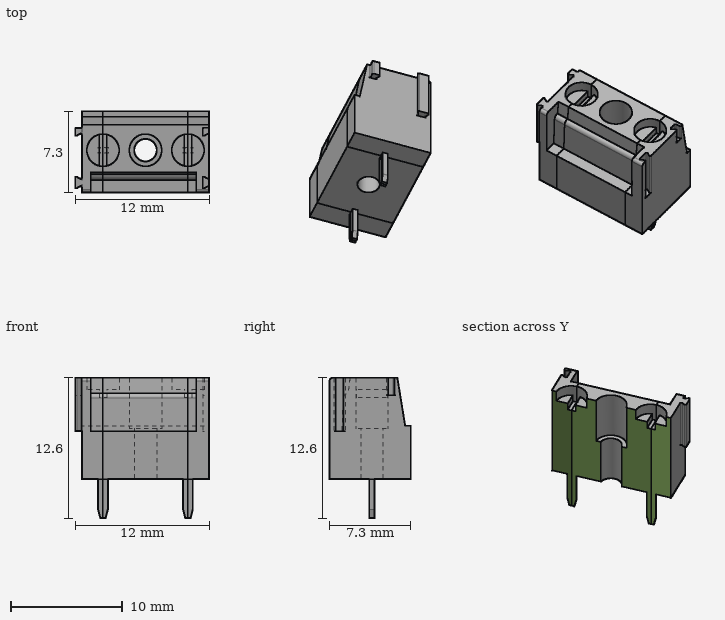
import cadquery as cq


pitch = 3.81
housing_length = 3 * pitch
housing_depth = 7.3
housing_height = 9.1
left_x = -housing_length / 2
right_x = housing_length / 2
front_edge_radius = 0.3
tool_overrun = 0.5

step_height = 4.8
step_depth = 0.5
slope_run = 0.7
slope_bottom_y = housing_depth - step_depth
slope_top_y = slope_bottom_y - slope_run

recess_left_wall = 0.785
recess_left_x = left_x + recess_left_wall
recess_length = 9.5
recess_floor_z = 4.3
recess_floor_y = 1.1
recess_top_y = 1.83
ledge_z = 7.7
ledge_back_y = 1.66
ledge_front_y = 1.23
ledge_radius = 0.4

hole_y = 3.8
hole_diameter = 2.9
screw_depth = 1.05
screw_slot_width = 0.7
screw_slot_depth = 0.7
probe_bore_depth = housing_height / 2
probe_through_diameter = 2.0

dovetail_reach = 0.6
dovetail_flare = 0.345
dovetail_radius = 0.1
front_dovetail_y = 0.9
front_dovetail_half_neck = 0.26
front_dovetail_bottom_z = recess_floor_z
back_dovetail_neck_y = 5.35
back_dovetail_flat_y = 5.8
back_dovetail_bottom_z = 7.5
dovetail_root_size = 0.2

pin_width = 0.9
pin_thickness = 0.5
pin_length = 3.5
pin_tip_width = 0.5
pin_tip_length = 0.8


def side_profile(points, start_x, length):
    """Extrude an outline of (Y, Z) points along +X from start_x."""
    outline = cq.Workplane("YZ", origin=(start_x, 0, 0)).polyline(points).close()
    return outline.extrude(length)


def housing_block():
    block = side_profile(
        [
            (0, 0),
            (housing_depth, 0),
            (housing_depth, step_height),
            (slope_bottom_y, step_height),
            (slope_top_y, housing_height),
            (0, housing_height),
        ],
        left_x,
        housing_length,
    )
    return block.edges("<Y and >Z").fillet(front_edge_radius)


def front_recess():
    """Pocket open to the front and top, with a rounded ledge across its back wall."""
    recess = side_profile(
        [
            (-tool_overrun, recess_floor_z),
            (recess_floor_y, recess_floor_z),
            (ledge_front_y, ledge_z),
            (ledge_back_y, ledge_z),
            (recess_top_y, housing_height),
            (recess_top_y, housing_height + tool_overrun),
            (-tool_overrun, housing_height + tool_overrun),
        ],
        recess_left_x,
        recess_length,
    )
    lip = cq.NearestToPointSelector((recess_left_x + recess_length / 2, ledge_front_y, ledge_z))
    return recess.edges(lip).fillet(ledge_radius)


def hole(x, diameter, depth):
    top = cq.Workplane("XY", origin=(x, hole_y, housing_height))
    return top.circle(diameter / 2).extrude(-depth)


def screw_hole(x):
    """Hole down to the screw head, with the driver slot cut in the head."""
    slot_depth = screw_depth + screw_slot_depth
    slot = cq.Workplane("XY", origin=(x, hole_y, housing_height))
    slot = slot.rect(screw_slot_width, hole_diameter).extrude(-slot_depth)
    slot = slot.intersect(hole(x, hole_diameter, slot_depth))
    return hole(x, hole_diameter, screw_depth).union(slot)


def probe_hole():
    bore = hole(0, hole_diameter, probe_bore_depth)
    return bore.union(hole(0, probe_through_diameter, housing_height))


def dovetail(face_x, lower_tip_y, lower_neck_y, upper_neck_y, upper_tip_y, bottom_z):
    """Rounded prism reaching toward -X from the plane X = face_x, up to the housing top.

    A root strip behind the plane lets the neck corners be rounded together with the tips.
    """
    tip_x = face_x - dovetail_reach
    root_x = face_x + dovetail_root_size
    prism = (
        cq.Workplane("XY", origin=(0, 0, bottom_z))
        .polyline(
            [
                (root_x, lower_neck_y - dovetail_root_size),
                (face_x, lower_neck_y - dovetail_root_size),
                (face_x, lower_neck_y),
                (tip_x, lower_tip_y),
                (tip_x, upper_tip_y),
                (face_x, upper_neck_y),
                (face_x, upper_neck_y + dovetail_root_size),
                (root_x, upper_neck_y + dovetail_root_size),
            ]
        )
        .close()
        .extrude(housing_height - bottom_z)
    )
    for y in (lower_neck_y, upper_neck_y):
        corner = cq.NearestToPointSelector((face_x, y, (bottom_z + housing_height) / 2))
        prism = prism.edges(corner).fillet(dovetail_radius)
    return prism.edges("|Z and <X").fillet(dovetail_radius)


def dovetails(face_x):
    lower_neck_y = front_dovetail_y - front_dovetail_half_neck
    upper_neck_y = front_dovetail_y + front_dovetail_half_neck
    front = dovetail(
        face_x,
        lower_neck_y - dovetail_flare,
        lower_neck_y,
        upper_neck_y,
        upper_neck_y + dovetail_flare,
        front_dovetail_bottom_z,
    )
    back = dovetail(
        face_x,
        back_dovetail_neck_y - dovetail_flare,
        back_dovetail_neck_y,
        back_dovetail_flat_y,
        back_dovetail_flat_y,
        back_dovetail_bottom_z,
    )
    return front.union(back)


def pin(x):
    """Flat pin below the housing, tapering in width at its tip."""
    shoulder_z = pin_tip_length - pin_length
    outline = cq.Workplane("XZ", origin=(x, hole_y, 0)).polyline(
        [
            (-pin_width / 2, 0),
            (-pin_width / 2, shoulder_z),
            (-pin_tip_width / 2, -pin_length),
            (pin_tip_width / 2, -pin_length),
            (pin_width / 2, shoulder_z),
            (pin_width / 2, 0),
        ]
    )
    return outline.close().extrude(pin_thickness / 2, both=True)


def whole_block():
    block = housing_block().cut(front_recess()).cut(probe_hole())
    block = block.cut(dovetails(right_x)).union(dovetails(left_x))
    for x in (-pitch, pitch):
        block = block.cut(screw_hole(x)).union(pin(x))
    return block


def section(block, start_x, end_x):
    """The part of the block between two planes across X."""
    slab = cq.Workplane("XY", origin=(start_x, 0, -pin_length))
    slab = slab.box(end_x - start_x, housing_depth, housing_height + pin_length, centered=False)
    return block.intersect(slab)


block = whole_block()
left_end = section(block, left_x - dovetail_reach, -pitch)
middle_section = section(block, -pitch, pitch)
right_end = section(block, pitch, right_x)

result = cq.Compound.makeCompound([left_end.val(), middle_section.val(), right_end.val()])